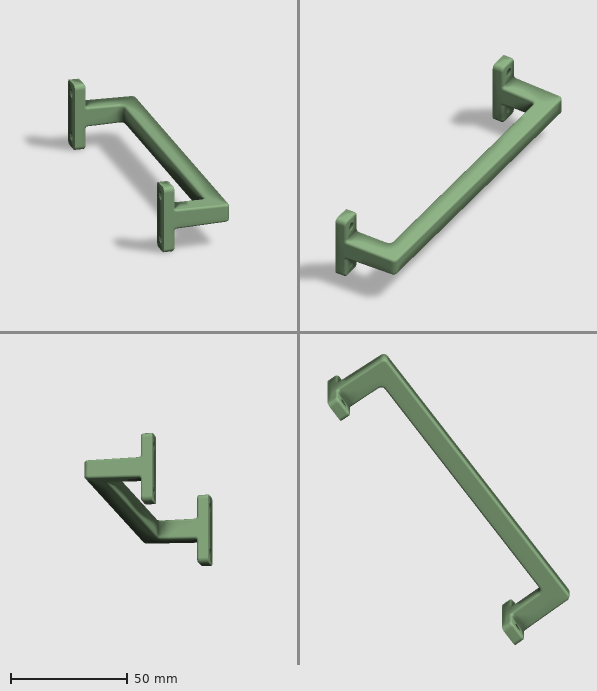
import cadquery as cq
import math

length = 138.0
depth = 30.0
plate_height = 30.0

plate_width = 10.0
plate_thickness = 5.0
plate_corner_radius = 2.0
hole_diameter = 3.8
hole_spacing = 20.0

grip_depth = 8.75
grip_height = 8.0
crown_rise = 0.46
bend_radius = 2.0
root_radius = 1.0
edge_radius = 1.0
draft_angle = 1.0

draft_slope = math.tan(math.radians(draft_angle))
half_length = length / 2
half_plate_height = plate_height / 2
plate_center_x = half_length - plate_width / 2
outer_front_x = half_length - depth * draft_slope
inner_base_x = half_length - plate_width
inner_front_x = inner_base_x - depth * draft_slope
tip_half_height = grip_height / 2
root_half_height = tip_half_height + (depth - plate_thickness) * draft_slope
grip_inner_y = depth - grip_depth


def drafted_block(base_half_width, front_half_width):
    """Full-height block that narrows from the mounting face to the outer grip face."""
    corners = [
        (-base_half_width, 0),
        (base_half_width, 0),
        (front_half_width, depth),
        (-front_half_width, depth),
    ]
    return cq.Workplane("XY").polyline(corners).close().extrude(half_plate_height, both=True)


def grip_slab():
    """Slab bounded by the crowned inner face of the grip, bulging toward the mounting face."""
    crown_radius = (tip_half_height**2 + crown_rise**2) / (2 * crown_rise)
    reach_z = root_half_height + edge_radius
    reach_y = grip_inner_y + crown_radius - math.sqrt(crown_radius**2 - reach_z**2)
    return (
        cq.Workplane("YZ")
        .moveTo(reach_y, -reach_z)
        .threePointArc((grip_inner_y, 0), (reach_y, reach_z))
        .lineTo(depth, reach_z)
        .lineTo(depth, -reach_z)
        .close()
        .extrude(half_length, both=True)
    )


def tee_section():
    """T-shaped side profile: upright plate with a drafted stem, swept along X."""
    upper_half = [
        (0, half_plate_height),
        (plate_thickness, half_plate_height),
        (plate_thickness, root_half_height),
        (depth, tip_half_height),
    ]
    lower_half = [(y, -z) for y, z in reversed(upper_half)]
    profile = cq.Workplane("YZ").polyline(upper_half + lower_half).close()
    body = profile.extrude(half_length, both=True)
    root_edges = cq.selectors.BoxSelector(
        (-half_length, plate_thickness - root_radius, -half_plate_height + edge_radius),
        (half_length, plate_thickness + root_radius, half_plate_height - edge_radius),
    )
    return body.edges("|X").edges(root_edges).fillet(root_radius)


def bow():
    """Grip and two legs with plates, rounded at the outer and inner bends."""
    opening = drafted_block(inner_base_x, inner_front_x).cut(grip_slab())
    body = tee_section().intersect(drafted_block(half_length, outer_front_x)).cut(opening)
    for side in (-1, 1):
        for bend_x, bend_y in ((outer_front_x, depth), (inner_front_x, grip_inner_y)):
            bend_edge = cq.selectors.BoxSelector(
                (side * bend_x - bend_radius, bend_y - bend_radius, -edge_radius),
                (side * bend_x + bend_radius, bend_y + bend_radius, edge_radius),
            )
            body = body.edges(bend_edge).fillet(bend_radius)
    return body


def round_plate_corners(body):
    """Round the four corners of each plate."""
    for end in (-1, 1):
        corners = cq.selectors.BoxSelector(
            (-half_length, edge_radius, end * half_plate_height - edge_radius),
            (half_length, plate_thickness - edge_radius, end * half_plate_height + edge_radius),
        )
        body = body.edges(corners).fillet(plate_corner_radius)
    return body


def soften_outline(body):
    """Round the outline edges; each tangent chain runs along grip, legs and plates."""
    grip_edges = cq.selectors.BoxSelector(
        (-edge_radius, grip_inner_y - edge_radius, -root_half_height),
        (edge_radius, depth + edge_radius, root_half_height),
    )
    return body.edges(grip_edges).fillet(edge_radius)


def drill_plates(body):
    """Cut the two screw holes through each plate, square to the mounting face."""
    hole_points = [
        (side * plate_center_x, end * hole_spacing / 2) for side in (-1, 1) for end in (-1, 1)
    ]
    holes = (
        cq.Workplane("XZ")
        .pushPoints(hole_points)
        .circle(hole_diameter / 2)
        .extrude(-plate_thickness)
    )
    return body.cut(holes)


handle = round_plate_corners(bow())
handle = soften_outline(handle)
result = drill_plates(handle)